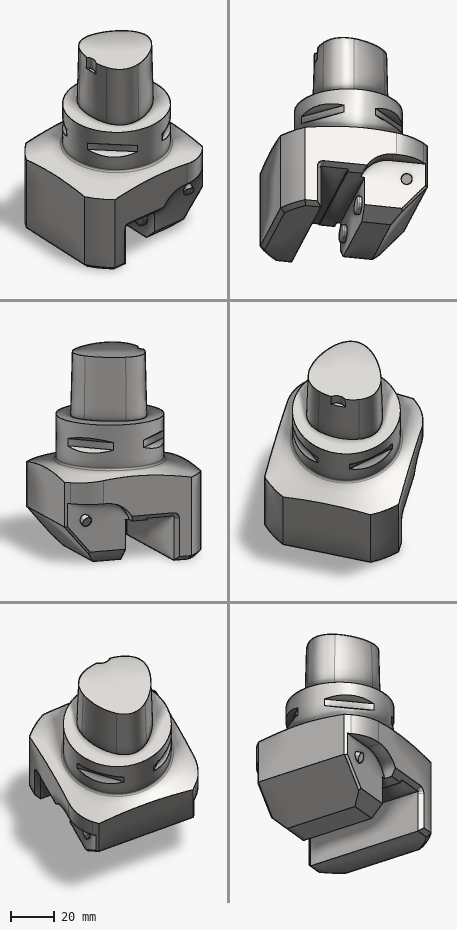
import math

import cadquery as cq


shank_length = 30.0
polygon_mean_radius = 17.5
polygon_lobe = 1.25
taper_per_side = 1 / 40
polygon_curves = 6
curve_steps = 6
key_width = 7.0
key_depth = 1.4
key_length = 5.8

flange_diameter = 50.0
flange_radius = flange_diameter / 2
flange_length = 21.4
neck_fillet = 1.0
gripper_chord = 23.2
gripper_floor_height = 3.4
gripper_mouth_height = 7.0
gripper_level = -10.1

head_half_width = 32.0
head_front = -37.0
head_back = 32.0
head_bottom = -65.0
front_corner_radius = 42.5
back_corner_cut = 8.1
back_corner_blend = 20.0
roof_slope = math.radians(15)
head_chamfer = 2.0

slot_front = -20.0
slot_back = 2.0
slot_roof = -44.0
slot_step_y = -7.0
slot_step_drop = 1.0

jaw_half_width = 25.0
jaw_bottom_chamfer = 6.0
jaw_edge_chamfer = 1.0
jaw_heel_y = 15.8
jaw_heel_z = -46.3
recess_top = -35.0
recess_radius = 15.0
recess_arc_y = 14.3

disc_diameter = 8.5
disc_length = 2.0
disc_rounding = 0.8
disc_x = 15.5
disc_z = -55.0
pin_diameter = 5.0
pin_end = cq.Vector(-26.3, 21.6, -44.3)
pin_direction = cq.Vector(-0.88, -0.25, -0.40)
pin_length = 6.0

edge_margin = 0.1


def both_sides(solid):
    """The solid together with its mirror image across the YZ plane."""
    return solid.union(solid.mirror("YZ"))


def polygon_point(angle, mean_radius):
    """Point of the three-lobed polygon, with one lobe pointing along +Y."""
    x = mean_radius * math.sin(angle) - polygon_lobe * math.sin(2 * angle)
    y = mean_radius * math.cos(angle) + polygon_lobe * math.cos(2 * angle)
    return x, y


def polygon_tangent(angle, mean_radius):
    """Direction of the polygon at the same angle."""
    x = mean_radius * math.cos(angle) - 2 * polygon_lobe * math.cos(2 * angle)
    y = -mean_radius * math.sin(angle) - 2 * polygon_lobe * math.sin(2 * angle)
    return x, y


def polygon_wire(z, mean_radius):
    """Closed polygon of six curves, each centred on a lobe or on a flat."""
    curve_angle = 2 * math.pi / polygon_curves
    edges = []
    for curve in range(polygon_curves):
        start = (curve - 0.5) * curve_angle
        angles = [start + curve_angle * i / curve_steps for i in range(curve_steps + 1)]
        points = [cq.Vector(*polygon_point(angle, mean_radius), z) for angle in angles]
        ends = [cq.Vector(*polygon_tangent(angle, mean_radius)) for angle in (angles[0], angles[-1])]
        edges.append(cq.Edge.makeSpline(points, tangents=ends))
    return cq.Wire.assembleEdges(edges)


def make_shank():
    """Tapered three-lobed shank with a key slot at its tip."""
    tip_radius = polygon_mean_radius - taper_per_side * shank_length
    base = polygon_wire(0, polygon_mean_radius)
    tip = polygon_wire(shank_length, tip_radius)
    shank = cq.Workplane(cq.Solid.makeLoft([base, tip], True))

    key_radius = ((key_width / 2) ** 2 + key_depth ** 2) / (2 * key_depth)
    tip_flat_y = polygon_lobe - tip_radius
    key_slot = (
        cq.Workplane("XY", origin=(0, tip_flat_y + key_depth - key_radius, shank_length - key_length))
        .circle(key_radius)
        .extrude(key_length)
    )
    return shank.cut(key_slot)


def make_gripper_slots():
    """Four trapezoidal notches, at 45 degrees to the X and Y axes."""
    floor_distance = math.sqrt(flange_radius ** 2 - (gripper_chord / 2) ** 2)
    floor = gripper_floor_height / 2
    mouth = gripper_mouth_height / 2
    notch = (
        cq.Workplane("XZ")
        .polyline([
            (floor_distance, gripper_level - floor),
            (flange_radius, gripper_level - mouth),
            (flange_radius, gripper_level + mouth),
            (floor_distance, gripper_level + floor),
        ])
        .close()
        .extrude(gripper_chord, both=True)
    )
    slots = cq.Workplane()
    for angle in (45, 135, 225, 315):
        slots = slots.add(notch.rotate((0, 0, 0), (0, 0, 1), angle))
    return slots.combine()


def make_head_block():
    """Block with arcs on the front corners and blended cuts on the back corners."""
    arc_side_y = -math.sqrt(front_corner_radius ** 2 - head_half_width ** 2)
    arc_front_x = math.sqrt(front_corner_radius ** 2 - head_front ** 2)
    mid_angle = (math.atan2(arc_side_y, head_half_width) + math.atan2(head_front, arc_front_x)) / 2
    arc_mid_x = front_corner_radius * math.cos(mid_angle)
    arc_mid_y = front_corner_radius * math.sin(mid_angle)
    cut_x = head_half_width - back_corner_cut
    cut_y = head_back - back_corner_cut

    outline = (
        cq.Workplane("XY", origin=(0, 0, head_bottom))
        .moveTo(-arc_front_x, head_front)
        .lineTo(arc_front_x, head_front)
        .threePointArc((arc_mid_x, arc_mid_y), (head_half_width, arc_side_y))
        .lineTo(head_half_width, cut_y)
        .lineTo(cut_x, head_back)
        .lineTo(-cut_x, head_back)
        .lineTo(-head_half_width, cut_y)
        .lineTo(-head_half_width, arc_side_y)
        .threePointArc((-arc_mid_x, arc_mid_y), (-arc_front_x, head_front))
        .close()
    )
    block = outline.extrude(-head_bottom)

    on_blend_line = cq.selectors.BoxSelector(
        (-head_half_width - edge_margin, cut_y - edge_margin, head_bottom),
        (head_half_width + edge_margin, cut_y + edge_margin, 0),
    )
    block = block.edges("|Z").edges(on_blend_line).fillet(back_corner_blend)

    front_half = cq.selectors.BoxSelector(
        (-head_half_width - edge_margin, head_front - edge_margin, head_bottom - edge_margin),
        (head_half_width + edge_margin, 0, head_bottom + edge_margin),
    )
    return block.edges(front_half).chamfer(head_chamfer)


def make_roof_envelope():
    """Flange cylinder and neck fillet over the cone that slopes the roof of the head."""
    neck_radius = flange_radius + neck_fillet
    outer_radius = 2 * flange_radius
    roof_edge = -flange_length - (outer_radius - neck_radius) * math.tan(roof_slope)
    return (
        cq.Workplane("XZ")
        .lineTo(flange_radius, 0)
        .lineTo(flange_radius, neck_fillet - flange_length)
        .radiusArc((neck_radius, -flange_length), -neck_fillet)
        .lineTo(outer_radius, roof_edge)
        .lineTo(outer_radius, head_bottom)
        .lineTo(0, head_bottom)
        .close()
        .revolve(360, (0, 0, 0), (0, 1, 0))
    )


def make_slot_bar(back, roof):
    """Rectangular bar along X, across the full width of the head."""
    return (
        cq.Workplane("YZ")
        .moveTo(slot_front, head_bottom)
        .lineTo(back, head_bottom)
        .lineTo(back, roof)
        .lineTo(slot_front, roof)
        .close()
        .extrude(head_half_width, both=True)
    )


def make_slot_flare():
    """45 degree flare of the roof and front wall at the -X end of the slot."""
    depth = head_chamfer + slot_step_drop
    flare_start = depth - head_half_width
    wall = slot_front + slot_step_drop
    roof = slot_roof - slot_step_drop
    over_roof = (
        cq.Workplane("XZ", origin=(0, slot_back, 0))
        .moveTo(flare_start, roof)
        .lineTo(-head_half_width, roof + depth)
        .lineTo(-head_half_width, roof)
        .close()
        .extrude(slot_back - wall)
    )
    before_wall = (
        cq.Workplane("XY", origin=(0, 0, head_bottom))
        .moveTo(flare_start, wall)
        .lineTo(-head_half_width, wall - depth)
        .lineTo(-head_half_width, wall)
        .close()
        .extrude(roof - head_bottom)
    )
    apex = cq.Vector(flare_start, wall, roof)
    corner = cq.Workplane(cq.Solid.makeCone(0, depth, depth, apex, cq.Vector(-1, 0, 0)))
    return over_roof.union(before_wall).union(corner)


def make_slot():
    """Cross slot with a stepped roof, flared at both ends."""
    low_part = make_slot_bar(slot_back, slot_roof - slot_step_drop)
    high_part = make_slot_bar(slot_step_y, slot_roof)
    return low_part.union(high_part).union(both_sides(make_slot_flare()))


def make_jaw_recess():
    """Material removed from the side of the head down to the jaw face."""
    arc_z = recess_top - recess_radius
    return (
        cq.Workplane("YZ", origin=(-head_half_width, 0, 0))
        .moveTo(head_back, head_bottom)
        .lineTo(head_back, recess_top)
        .lineTo(recess_arc_y, recess_top)
        .radiusArc((recess_arc_y - recess_radius, arc_z), -recess_radius)
        .lineTo(recess_arc_y - recess_radius, head_bottom)
        .close()
        .extrude(head_half_width - jaw_half_width)
    )


def make_jaw_heel():
    """Sloping cut below the back of the jaw."""
    return (
        cq.Workplane("YZ", origin=(-head_half_width, 0, 0))
        .moveTo(head_back, jaw_heel_z)
        .lineTo(head_back, head_bottom)
        .lineTo(jaw_heel_y, head_bottom)
        .close()
        .extrude(2 * head_half_width)
    )


def make_jaw_bottom_bevel():
    """Wedge that bevels the lower side edge of the jaw at -X."""
    return (
        cq.Workplane("XZ", origin=(0, slot_back, 0))
        .moveTo(-jaw_half_width, head_bottom)
        .lineTo(-jaw_half_width, head_bottom + jaw_bottom_chamfer)
        .lineTo(jaw_bottom_chamfer - jaw_half_width, head_bottom)
        .close()
        .extrude(slot_back - head_back)
    )


def chamfer_jaw_heel(body):
    """Chamfer the edges between the two jaw faces and the sloping heel."""
    mid_y = (head_back + jaw_heel_y) / 2
    mid_z = (jaw_heel_z + head_bottom) / 2
    reach = 1.0
    for side in (-jaw_half_width, jaw_half_width):
        heel_edge = cq.selectors.BoxSelector(
            (side - edge_margin, mid_y - reach, mid_z - reach),
            (side + edge_margin, mid_y + reach, mid_z + reach),
        )
        body = body.edges(heel_edge).chamfer(jaw_edge_chamfer)
    return body


def make_disc():
    """Round pad with a rounded rim, on the slot side of the jaw at -X."""
    return (
        cq.Workplane("XZ", origin=(-disc_x, slot_back, disc_z))
        .circle(disc_diameter / 2)
        .extrude(disc_length)
        .faces("<Y")
        .fillet(disc_rounding)
    )


def make_pin():
    """Tilted pin standing out of the jaw face at -X."""
    return cq.Workplane(
        cq.Solid.makeCylinder(pin_diameter / 2, pin_length, pin_end, pin_direction.multiply(-1))
    )


body = make_head_block().intersect(make_roof_envelope())
body = body.cut(make_gripper_slots())
body = body.cut(both_sides(make_jaw_recess()))
body = body.cut(make_jaw_heel())
body = chamfer_jaw_heel(body)
body = body.cut(both_sides(make_jaw_bottom_bevel()))
body = body.cut(make_slot())
body = body.union(make_shank())
body = body.union(both_sides(make_disc()))
result = body.union(both_sides(make_pin()))